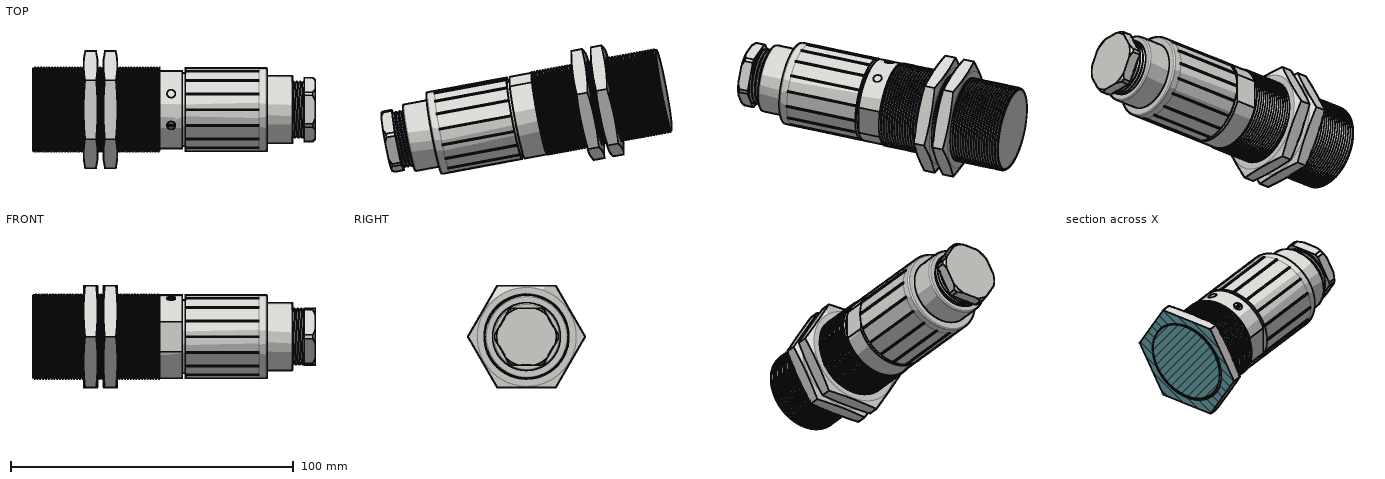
import cadquery as cq
import math


thread_diameter = 30.0
thread_length = 45.0
thread_pitch = 1.0
thread_depth = 0.65
thread_crest_offset = 0.7
face_chamfer = 0.6
collar_diameter = 29.5
collar_length = 8.0
collar_across_flats = 27.5
neck_diameter = 26.0
neck_length = 1.0

indicator_diameter = 3.0
indicator_depth = 2.0
indicator_angle = 22.5
adjuster_recess = 0.1
adjuster_slot_width = 0.8
adjuster_slot_depth = 0.6

nut_across_flats = 36.0
nut_thickness = 5.0
nut_starts = (18.0, 25.0)
nut_face_diameter = 35.0
nut_chamfer_angle = 10.0

grip_diameter = collar_diameter
grip_length = 29.0
grip_edge_fillet = 0.5
groove_count = 16
groove_length = 26.0
groove_width = 0.4
groove_depth = 0.3
spigot_diameter = 24.0
spigot_length = 9.0
spigot_edge_fillet = 0.5

gland_thread_diameter = 20.0
gland_thread_length = 4.0
gland_thread_pitch = 1.25
gland_thread_depth = 0.6
gland_crest_offset = 1.15
gland_across_flats = 20.2
gland_corner_diameter = 22.6
gland_end_diameter = 21.0
gland_chamfer_length = 0.9
gland_hex_length = 4.0

collar_start = thread_length
neck_start = collar_start + collar_length
grip_start = neck_start + neck_length
spigot_start = grip_start + grip_length
gland_start = spigot_start + spigot_length
gland_hex_start = gland_start + gland_thread_length
indicator_x = collar_start + collar_length / 2


def cylinder(start, length, diameter):
    """Round bar along +X."""
    return cq.Workplane("YZ", origin=(start, 0, 0)).circle(diameter / 2).extrude(length)


def hexagon(start, length, across_flats):
    """Hexagonal bar along +X with corners on +Y and -Y."""
    corner_diameter = across_flats / math.cos(math.pi / 6)
    return cq.Workplane("YZ", origin=(start, 0, 0)).polygon(6, corner_diameter).extrude(length)


def revolved(points):
    """Solid of revolution about the X axis from (x, radius) points."""
    return cq.Workplane("XY").polyline(points).close().revolve(360, (0, 0, 0), (1, 0, 0))


def screw(diameter, pitch, depth, turns):
    """Solid with a sharp right-handed thread along +Z; each end is one turn of a helical ramp.

    The flanks are ruled between crest and root helices, one turn at a time, and the crest
    starts on +X at Z = 0.
    """
    crest_radius = diameter / 2
    root_radius = crest_radius - depth

    def helix(radius, height):
        return cq.Wire.makeHelix(pitch, pitch, radius, center=cq.Vector(0, 0, height)).Edges()[0]

    crests = [helix(crest_radius, turn * pitch) for turn in range(turns + 1)]
    roots = [helix(root_radius, (turn + 0.5) * pitch) for turn in range(turns)]
    faces = []
    for turn, root in enumerate(roots):
        faces.append(cq.Face.makeRuledSurface(crests[turn], root))
        faces.append(cq.Face.makeRuledSurface(root, crests[turn + 1]))
    for turn in (0, turns):
        low = turn * pitch
        high = low + pitch
        axis = cq.Edge.makeLine(cq.Vector(0, 0, low), cq.Vector(0, 0, high))
        faces.append(cq.Face.makeRuledSurface(crests[turn], axis))
        step_points = [
            cq.Vector(0, 0, low),
            cq.Vector(crest_radius, 0, low),
            cq.Vector(root_radius, 0, low + pitch / 2),
            cq.Vector(crest_radius, 0, high),
            cq.Vector(0, 0, high),
        ]
        faces.append(cq.Face.makeFromWires(cq.Wire.makePolygon(step_points, close=True)))
    return cq.Workplane(cq.Solid.makeSolid(cq.Shell.makeShell(faces)))


def threaded_bar(envelope, start, length, diameter, pitch, depth, crest_offset):
    """Threaded bar along +X, trimmed to the envelope.

    crest_offset is the distance from start to a place where the crest passes the -Z side.
    """
    end_turns = 2
    turns = math.ceil(length / pitch) + end_turns + 1
    bar = screw(diameter, pitch, depth, turns).rotate((0, 0, 0), (0, 1, 0), 90)
    bar = bar.translate((start + crest_offset - end_turns * pitch, 0, 0))
    return bar.intersect(envelope)


def radial_in_collar(shape, tilt):
    """Turn a shape that stands on the +Z side of the collar towards +Y by tilt degrees."""
    return shape.rotate((0, 0, 0), (1, 0, 0), -tilt)


def indicator_plug(depth):
    """Radial round plug flush with the collar and reaching to depth below its surface."""
    floor = collar_diameter / 2 - depth
    plug = cq.Workplane("XY", origin=(indicator_x, 0, floor)).circle(indicator_diameter / 2)
    return plug.extrude(2 * depth).intersect(cylinder(collar_start, collar_length, collar_diameter))


def adjuster_cut():
    """Shallow round recess with a screwdriver slot along X."""
    radius = collar_diameter / 2
    outer = cylinder(collar_start, collar_length, collar_diameter)
    inner = cylinder(collar_start, collar_length, collar_diameter - 2 * adjuster_recess)
    disc = cq.Workplane("XY", origin=(indicator_x, 0, 0)).circle(indicator_diameter / 2).extrude(radius)
    slot = disc.intersect(
        cq.Workplane("XY", origin=(indicator_x, 0, radius))
        .box(indicator_diameter, adjuster_slot_width, 2 * adjuster_slot_depth)
    )
    return disc.intersect(outer).cut(inner).union(slot)


def make_indicator():
    return radial_in_collar(indicator_plug(indicator_depth), indicator_angle)


def make_housing():
    outer_radius = thread_diameter / 2 + face_chamfer
    envelope = revolved([
        (0, 0),
        (0, thread_diameter / 2 - face_chamfer),
        (2 * face_chamfer, outer_radius),
        (thread_length, outer_radius),
        (thread_length, 0),
    ])
    rod = threaded_bar(
        envelope, 0, thread_length, thread_diameter, thread_pitch, thread_depth, thread_crest_offset
    )
    collar = cylinder(collar_start, collar_length, collar_diameter)
    flats = cq.Workplane("XY", origin=(indicator_x, 0, 0)).box(
        collar_length, collar_across_flats, collar_diameter
    )
    collar = collar.intersect(flats)
    collar = collar.cut(make_indicator())
    collar = collar.cut(radial_in_collar(adjuster_cut(), -indicator_angle))
    collar = collar.union(cylinder(neck_start, neck_length, neck_diameter))
    return rod.union(collar)


def make_nut(start):
    """Hexagon nut with both faces chamfered down to a flat ring."""
    face_radius = nut_face_diameter / 2
    corner_radius = nut_across_flats / 2 / math.cos(math.pi / 6)
    chamfer = (corner_radius - face_radius) * math.tan(math.radians(nut_chamfer_angle))
    end = start + nut_thickness
    envelope = revolved([
        (start, 0),
        (start, face_radius),
        (start + chamfer, corner_radius),
        (end - chamfer, corner_radius),
        (end, face_radius),
        (end, 0),
    ])
    nut = hexagon(start, nut_thickness, nut_across_flats).intersect(envelope)
    return nut.cut(cylinder(start, nut_thickness, thread_diameter))


def make_chamber():
    ribs = cylinder(grip_start, groove_length, grip_diameter)
    groove = cq.Workplane("XY", origin=(grip_start + groove_length / 2, 0, grip_diameter / 2)).box(
        groove_length, groove_width, 2 * groove_depth
    )
    for index in range(groove_count):
        ribs = ribs.cut(groove.rotate((0, 0, 0), (1, 0, 0), index * 360 / groove_count))
    rim = cylinder(grip_start + groove_length, grip_length - groove_length, grip_diameter)
    rim = rim.faces(">X").edges().fillet(grip_edge_fillet)
    spigot = cylinder(spigot_start, spigot_length, spigot_diameter)
    spigot = spigot.faces(">X").edges().fillet(spigot_edge_fillet)
    return ribs.union(rim.union(spigot), clean=False)


def make_gland():
    stem = threaded_bar(
        cylinder(gland_start, gland_thread_length, gland_corner_diameter),
        gland_start,
        gland_thread_length,
        gland_thread_diameter,
        gland_thread_pitch,
        gland_thread_depth,
        gland_crest_offset,
    )
    end = gland_hex_start + gland_hex_length
    envelope = revolved([
        (gland_hex_start, 0),
        (gland_hex_start, gland_corner_diameter / 2),
        (end - gland_chamfer_length, gland_corner_diameter / 2),
        (end, gland_end_diameter / 2),
        (end, 0),
    ])
    head = hexagon(gland_hex_start, gland_hex_length, gland_across_flats).intersect(envelope)
    return stem.union(head)


housing = make_housing()
indicator = make_indicator()
nuts = [make_nut(start) for start in nut_starts]
chamber = make_chamber()
gland = make_gland()

result = cq.Compound.makeCompound(
    [housing.val(), indicator.val(), *[nut.val() for nut in nuts], chamber.val(), gland.val()]
)